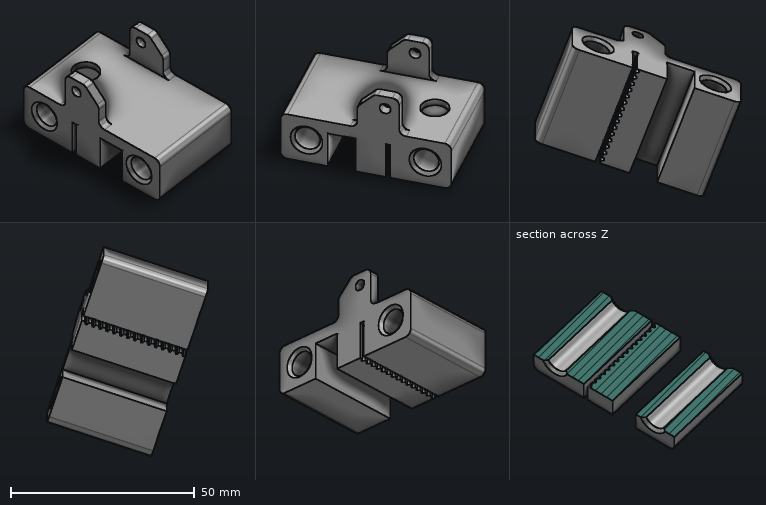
import cadquery as cq

length = 49.0
depth = 30.0
total_height = 27.0
block_height = 15.0
corner_radius = 2.0

bore_diameter = 7.2
bore_end_distance = 7.5
countersink_width = 1.0

slot_roof_thickness = 3.9
slot_height = block_height - slot_roof_thickness
narrow_slot_left = 17.55
narrow_slot_width = 1.3
wide_slot_left = 27.5
wide_slot_width = 8.0

tooth_count = 15
tooth_pitch = depth / tooth_count
tooth_mouth = 1.2
tooth_taper = 0.4
tooth_depth = 0.75

pocket_diameter = 8.0
pocket_depth = 2.0
pocket_x = 9.5

lug_left = 15.0
lug_width = 12.0
lug_right = lug_left + lug_width
lug_thickness = 3.0
lug_bevel = 5.0
lug_radius = 2.0
lug_hole_diameter = 3.2
lug_hole_inset = 4.0


def make_block():
    block = cq.Workplane("XY").box(length, depth, block_height, centered=(False, True, False))
    return block.edges("|Y").fillet(corner_radius)


def make_bore(x):
    """Through bore with a 45 degree countersink at both ends."""
    axis_z = block_height / 2
    bore = (
        cq.Workplane("XZ", origin=(x, depth / 2, axis_z))
        .circle(bore_diameter / 2)
        .extrude(depth)
    )
    mouth_radius = bore_diameter / 2 + countersink_width
    for side in (-1, 1):
        countersink = cq.Solid.makeCone(
            mouth_radius,
            bore_diameter / 2,
            countersink_width,
            pnt=cq.Vector(x, side * depth / 2, axis_z),
            dir=cq.Vector(0, -side, 0),
        )
        bore = bore.union(cq.Workplane(obj=countersink))
    return bore


def make_slot(left, width):
    slot = cq.Workplane("XY").box(width, depth, slot_height, centered=(False, True, False))
    return slot.translate((left, 0, 0))


def make_tooth(front_y):
    """Groove over the full slot height whose mouth starts at front_y."""
    wall_x = narrow_slot_left + narrow_slot_width
    back_y = front_y + tooth_mouth
    return (
        cq.Workplane("XY")
        .moveTo(wall_x, front_y)
        .lineTo(wall_x + tooth_depth, front_y + tooth_taper)
        .lineTo(wall_x + tooth_depth, back_y - tooth_taper)
        .lineTo(wall_x, back_y)
        .close()
        .extrude(slot_height)
    )


def make_pocket():
    return (
        cq.Workplane("XY", origin=(pocket_x, 0, block_height - pocket_depth))
        .circle(pocket_diameter / 2)
        .extrude(pocket_depth)
    )


def make_foot(side_x, outward):
    """Outline of the concave foot blending a lug side into the top face."""
    tip_x = side_x + outward * lug_radius
    center_z = block_height + lug_radius
    diagonal = lug_radius * 0.5**0.5
    return (
        cq.Workplane("XZ")
        .moveTo(side_x, block_height)
        .lineTo(tip_x, block_height)
        .threePointArc((tip_x - outward * diagonal, center_z - diagonal), (side_x, center_z))
        .close()
    )


def make_lug(back_y):
    """Bevelled lug whose rear face lies at back_y."""
    plate = (
        cq.Workplane("XZ")
        .moveTo(lug_left, block_height)
        .lineTo(lug_left, total_height)
        .lineTo(lug_right - lug_bevel, total_height)
        .lineTo(lug_right, total_height - lug_bevel)
        .lineTo(lug_right, block_height)
        .close()
        .extrude(lug_thickness)
    )
    plate = plate.edges("|Y and (not <Z)").fillet(lug_radius)
    for side_x, outward in ((lug_left, -1), (lug_right, 1)):
        plate = plate.union(make_foot(side_x, outward).extrude(lug_thickness))
    hole = (
        cq.Workplane("XZ")
        .center(lug_left + lug_hole_inset, total_height - lug_hole_inset)
        .circle(lug_hole_diameter / 2)
        .extrude(lug_thickness)
    )
    return plate.cut(hole).translate((0, back_y, 0))


result = make_block()
for lug_back in (depth / 2, lug_thickness - depth / 2):
    result = result.union(make_lug(lug_back))
for bore_x in (bore_end_distance, length - bore_end_distance):
    result = result.cut(make_bore(bore_x))
result = result.cut(make_slot(narrow_slot_left, narrow_slot_width))
for tooth in range(tooth_count):
    result = result.cut(make_tooth(tooth * tooth_pitch - depth / 2))
result = result.cut(make_slot(wide_slot_left, wide_slot_width))
result = result.cut(make_pocket())